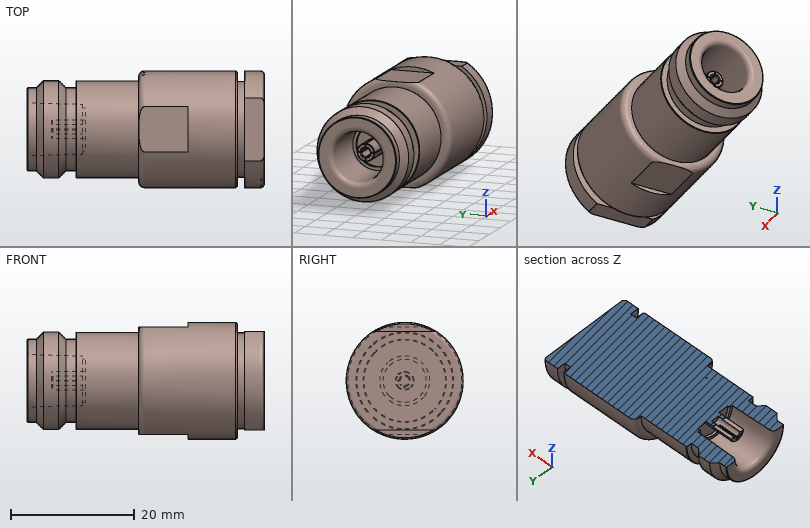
import cadquery as cq
import math

LENGTH = 38.5

NECK_DIA = 13.5
NECK_EDGE = 0.12
RIDGE_DIA = 15.84
RIDGE_START = 1.5
RIDGE_END = 6.3
RIDGE_BEVEL = (RIDGE_DIA - NECK_DIA) / 2

BARREL_DIA = 15.75
BARREL_START = 7.9
BARREL_EDGE = 0.1

BODY_DIA = 19.0
BODY_START = 18.1
BODY_LENGTH = 16.0
BODY_END = BODY_START + BODY_LENGTH
BODY_FRONT_RADIUS = 1.0
BODY_REAR_EDGE = 0.25
BODY_FLAT_WIDTH = 17.5
BODY_FLAT_LENGTH = 8.0

RELIEF_DIA = 15.6
NUT_DIA = BODY_DIA
NUT_START = 35.3
NUT_LENGTH = LENGTH - NUT_START
NUT_FLAT_WIDTH = 16.0
NUT_REAR_RADIUS = 0.65

BORE_DIA = 8.5
MOUTH_RADIUS = 0.85
SEAT_DIA = 8.1
SOCKET_DEPTH = 9.0
INSULATOR_DIA = 7.0
INSULATOR_RECESS = 0.5
SOCKET_FLOOR = SOCKET_DEPTH + INSULATOR_RECESS

CONTACT_DIA = 3.0
CONTACT_TIP = 4.0
CONTACT_TIP_BEVEL = 0.1
CONTACT_HOLE_DIA = 1.5
CONTACT_HOLE_BEVEL = 0.18
CONTACT_HOLE_DEPTH = 5.0
CONTACT_SLOT_WIDTH = 0.15
CONTACT_SLOT_DEPTH = 4.0


def revolve_about_axis(profile):
    """Spin a closed (X, radius) profile about the X axis."""
    return profile.close().revolve(360, (0, 0, 0), (1, 0, 0))


def rod(diameter, start, end):
    """Solid cylinder along the X axis."""
    return cq.Workplane("YZ").workplane(offset=start).circle(diameter / 2).extrude(end - start)


def cut_wrench_flats(part, width, start, length):
    """Remove the material above and below a pair of flats parallel to XY."""
    for side in (1, -1):
        cutter = (
            cq.Workplane("XY")
            .box(length, BODY_DIA, BODY_DIA, centered=(False, True, True))
            .translate((start, 0, side * (width + BODY_DIA) / 2))
        )
        part = part.cut(cutter)
    return part


def make_front_end():
    neck_radius = NECK_DIA / 2
    ridge_radius = RIDGE_DIA / 2
    barrel_radius = BARREL_DIA / 2
    profile = (
        cq.Workplane("XY")
        .moveTo(0, 0)
        .lineTo(0, neck_radius - NECK_EDGE)
        .lineTo(NECK_EDGE, neck_radius)
        .lineTo(RIDGE_START, neck_radius)
        .lineTo(RIDGE_START + RIDGE_BEVEL, ridge_radius)
        .lineTo(RIDGE_END - RIDGE_BEVEL, ridge_radius)
        .lineTo(RIDGE_END, neck_radius)
        .lineTo(BARREL_START, neck_radius)
        .lineTo(BARREL_START, barrel_radius - BARREL_EDGE)
        .lineTo(BARREL_START + BARREL_EDGE, barrel_radius)
        .lineTo(BODY_START, barrel_radius)
        .lineTo(BODY_START, 0)
    )
    return revolve_about_axis(profile)


def make_body():
    body = rod(BODY_DIA, BODY_START, BODY_END)
    body = body.faces("<X").edges().fillet(BODY_FRONT_RADIUS)
    body = body.faces(">X").edges().chamfer(BODY_REAR_EDGE)
    return cut_wrench_flats(body, BODY_FLAT_WIDTH, BODY_START, BODY_FLAT_LENGTH)


def make_nut():
    nut = rod(NUT_DIA, NUT_START, LENGTH)
    nut = nut.faces(">X").edges().fillet(NUT_REAR_RADIUS)
    return cut_wrench_flats(nut, NUT_FLAT_WIDTH, NUT_START, NUT_LENGTH)


def make_socket():
    """Stepped bore with a rounded mouth, as a solid to cut away."""
    bore_radius = BORE_DIA / 2
    mouth_offset = MOUTH_RADIUS * (1 - math.sqrt(0.5))
    profile = (
        cq.Workplane("XY")
        .moveTo(0, 0)
        .lineTo(0, bore_radius + MOUTH_RADIUS)
        .threePointArc((mouth_offset, bore_radius + mouth_offset), (MOUTH_RADIUS, bore_radius))
        .lineTo(SOCKET_DEPTH, SEAT_DIA / 2)
        .lineTo(SOCKET_DEPTH, INSULATOR_DIA / 2)
        .lineTo(SOCKET_FLOOR, INSULATOR_DIA / 2)
        .lineTo(SOCKET_FLOOR, 0)
    )
    return revolve_about_axis(profile)


def make_contact():
    """Pin with beveled edges, a blind hole and two crossed slots that split its tip."""
    contact_radius = CONTACT_DIA / 2
    hole_radius = CONTACT_HOLE_DIA / 2
    hole_end = CONTACT_TIP + CONTACT_HOLE_DEPTH
    contact = revolve_about_axis(
        cq.Workplane("XY")
        .moveTo(CONTACT_TIP, hole_radius + CONTACT_HOLE_BEVEL)
        .lineTo(CONTACT_TIP, contact_radius - CONTACT_TIP_BEVEL)
        .lineTo(CONTACT_TIP + CONTACT_TIP_BEVEL, contact_radius)
        .lineTo(SOCKET_FLOOR, contact_radius)
        .lineTo(SOCKET_FLOOR, 0)
        .lineTo(hole_end, 0)
        .lineTo(hole_end, hole_radius)
        .lineTo(CONTACT_TIP + CONTACT_HOLE_BEVEL, hole_radius)
    )
    slot = cq.Workplane("XY").box(
        CONTACT_SLOT_DEPTH, CONTACT_DIA, CONTACT_SLOT_WIDTH, centered=(False, True, True)
    )
    slot = slot.translate((CONTACT_TIP, 0, 0))
    for angle in (0, 90):
        contact = contact.cut(slot.rotate((0, 0, 0), (1, 0, 0), angle))
    return contact


result = (
    make_front_end()
    .union(make_body())
    .union(rod(RELIEF_DIA, BODY_END, NUT_START))
    .union(make_nut())
    .cut(make_socket())
    .union(make_contact())
)